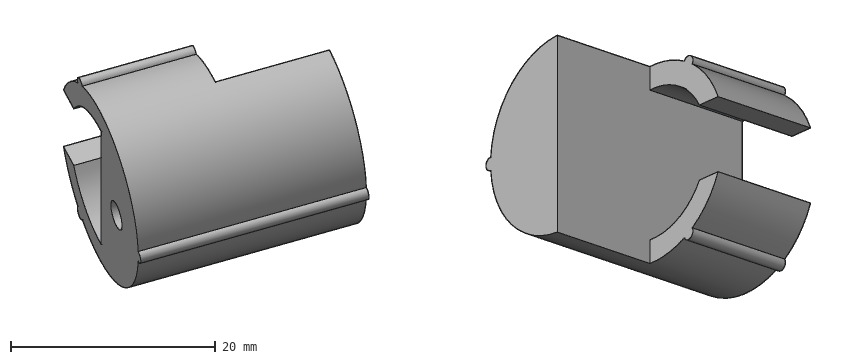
import cadquery as cq
import math

length = 24.0
clip_length = length / 2
outer_radius = 10.5
inner_radius = 8.0
flat_x = 0.5
mouth_width = 8.0
bead_radius = 0.7
bead_angles = (0, 120, 240)
hole_diameter = 3.0
hole_x = 4.6
hole_z = 0.12
hole_depth = 12.0
drill_point_angle = 118.0


def cylinder(radius, depth, x=0, z=0):
    """Cylinder along +Y, starting on the front face."""
    return cq.Workplane("XZ").center(x, z).circle(radius).extrude(-depth)


def block(x_min, x_max, depth, height):
    """Box from the front face along +Y, centred on Z = 0."""
    return (
        cq.Workplane("XZ")
        .center((x_min + x_max) / 2, 0)
        .rect(x_max - x_min, height)
        .extrude(-depth)
    )


def blind_hole():
    """Drilled hole with a conical bottom."""
    radius = hole_diameter / 2
    tip_depth = radius / math.tan(math.radians(drill_point_angle / 2))
    profile = [(0, 0), (radius, 0), (radius, hole_depth), (0, hole_depth + tip_depth)]
    drill = cq.Workplane("XY").polyline(profile).close().revolve(360, (0, 0), (0, 1))
    return drill.translate((hole_x, 0, hole_z))


diameter = 2 * outer_radius
core_side = block(flat_x, outer_radius, length, diameter)
core = cylinder(outer_radius, length).intersect(core_side)
clip_side = block(-outer_radius, flat_x, clip_length, diameter)
clip = cylinder(outer_radius, clip_length).cut(cylinder(inner_radius, clip_length)).intersect(clip_side)
mouth = block(-outer_radius, 0, clip_length, mouth_width)
result = core.union(clip.cut(mouth))

for angle in bead_angles:
    bead_x = outer_radius * math.cos(math.radians(angle))
    bead_z = outer_radius * math.sin(math.radians(angle))
    bead_length = length if bead_x > flat_x else clip_length
    result = result.union(cylinder(bead_radius, bead_length, bead_x, bead_z))

result = result.cut(blind_hole())